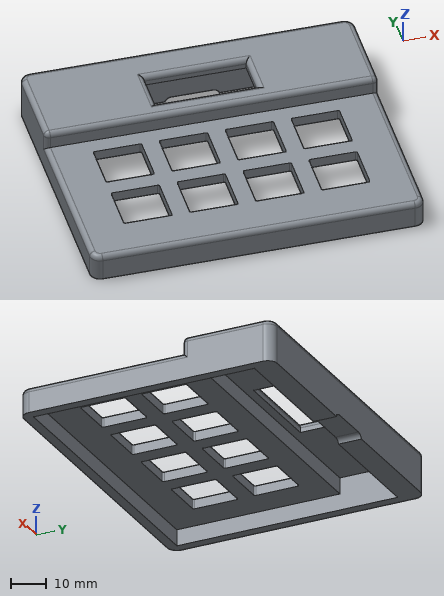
import cadquery as cq

length = 96.45
width = 79.0
height = 13.0
front_height = 8.0
step_y = 11.4
corner_radius = 3.0
edge_radius = 1.5

wall = 3.0
back_wall = 7.1
front_y = -width / 2
back_y = width / 2
bottom_z = -height / 2
top_z = height / 2

window_length = 29.5
window_width = 12.0
window_y = 23.05

key_size = 14.0
key_corner_radius = 0.5
key_pitch = 19.1
key_columns = 4
key_rows = 2
keys_y = -10.1

slot_length = 16.0
slot_diameter = 4.0
slot_height = 1.35


def slab(size_x, y_start, y_end, size_z):
    """Box centred on X that stands on the bottom plane."""
    return (
        cq.Workplane("XY", origin=(0, (y_start + y_end) / 2, bottom_z))
        .box(size_x, y_end - y_start, size_z, centered=(True, True, False))
    )


def low_section():
    body = slab(length, front_y, back_y, front_height)
    body = body.edges("|Z").fillet(corner_radius)
    return body.faces(">Z").edges().fillet(edge_radius)


def raised_section():
    body = slab(length, step_y, back_y, height)
    body = body.edges("|Z and >Y").fillet(corner_radius)
    body = body.edges("|Z and <Y").fillet(edge_radius)
    return body.faces(">Z").edges().fillet(edge_radius)


def cavity():
    """Hollow that is open at the bottom and follows the stepped top."""
    inner_length = length - 2 * wall
    inner_back = back_y - back_wall
    low = slab(inner_length, front_y + wall, inner_back, front_height - wall)
    raised = slab(inner_length, step_y + wall, inner_back, height - wall)
    return low.union(raised)


def cut_window(body):
    """Cut the display window through the raised deck and round its upper rim."""
    opening = slab(
        window_length, window_y - window_width / 2, window_y + window_width / 2, height
    )
    body = body.cut(opening)
    rim_area = cq.selectors.BoxSelector(
        (-window_length, window_y - window_width, top_z - edge_radius),
        (window_length, window_y + window_width, top_z + edge_radius),
    )
    return body.faces(">Z").edges(rim_area).fillet(edge_radius)


def key_cutter():
    return (
        cq.Workplane("XY", origin=(0, keys_y, bottom_z))
        .rarray(key_pitch, key_pitch, key_columns, key_rows)
        .rect(key_size, key_size)
        .extrude(front_height)
        .edges("|Z")
        .fillet(key_corner_radius)
    )


def slot_cutter():
    """Round-ended slot whose lower part falls below the bottom face."""
    slot_z = bottom_z + slot_height - slot_diameter / 2
    return (
        cq.Workplane("XZ", origin=(0, back_y, slot_z))
        .slot2D(slot_length, slot_diameter)
        .extrude(back_wall)
    )


shell = low_section().union(raised_section()).cut(cavity())
shell = cut_window(shell)
result = shell.cut(key_cutter()).cut(slot_cutter())